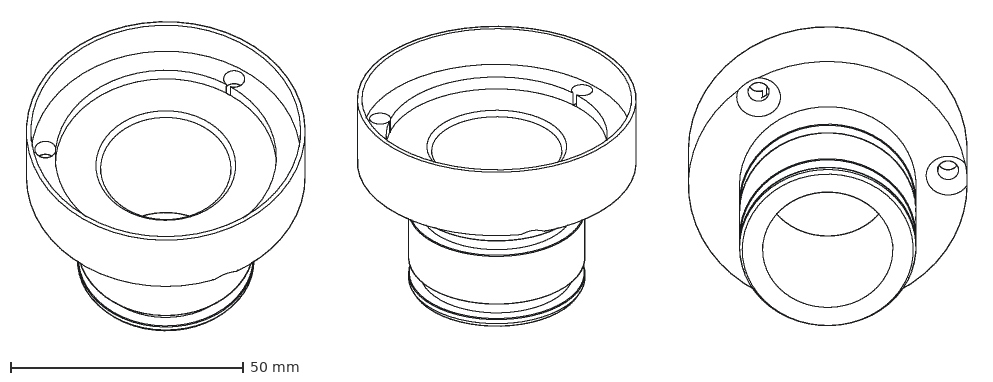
import cadquery as cq
import math

flange_diameter = 60.0
total_height = 46.0
flange_height = 16.0
flange_bottom = total_height - flange_height

cup_diameter = 58.0
cup_depth = 9.0
recess_diameter = 47.6
recess_depth = 3.0
cup_floor = total_height - cup_depth
recess_floor = cup_floor - recess_depth

neck_diameter = 38.0
groove_diameter = 33.0
groove_width = 3.6
groove_bottoms = (2.2, 18.2)
groove_edge_chamfer = 0.2
neck_end_chamfer_height = 1.0
neck_end_chamfer_angle = 30.0

bore_diameter = 28.0
bore_chamfer = 1.0

screw_count = 3
screw_circle_radius = 26.0
screw_hole_diameter = 4.5
countersink_diameter = 9.4
countersink_angle = 90.0
first_screw_angle = 90.0

flat_height = 8.15
flat_depth = 0.35
flat_middle = (groove_bottoms[0] + groove_width + groove_bottoms[1]) / 2


def cylinder(diameter, bottom, height):
    return cq.Workplane("XY").workplane(offset=bottom).circle(diameter / 2).extrude(height)


def make_body():
    neck_end_inset = neck_end_chamfer_height * math.tan(math.radians(neck_end_chamfer_angle))
    neck = cylinder(neck_diameter, 0, flange_bottom)
    neck = neck.faces("<Z").chamfer(neck_end_chamfer_height, neck_end_inset)
    return neck.union(cylinder(flange_diameter, flange_bottom, flange_height))


def make_groove_cutter(bottom):
    """Ring that is wider at the neck surface, so that it also breaks the groove edges."""
    root = groove_diameter / 2
    surface = neck_diameter / 2
    top = bottom + groove_width
    return (
        cq.Workplane("XZ")
        .moveTo(root, bottom)
        .lineTo(surface - groove_edge_chamfer, bottom)
        .lineTo(surface, bottom - groove_edge_chamfer)
        .lineTo(surface, top + groove_edge_chamfer)
        .lineTo(surface - groove_edge_chamfer, top)
        .lineTo(root, top)
        .close()
        .revolve(360, (0, 0, 0), (0, 1, 0))
    )


def cut_center(body):
    body = body.cut(cylinder(cup_diameter, cup_floor, cup_depth))
    body = body.cut(cylinder(recess_diameter, recess_floor, recess_depth))
    body = body.cut(cylinder(bore_diameter, 0, total_height))
    mouth_radius = bore_diameter / 2 + bore_chamfer
    mouth = cq.Solid.makeCone(
        bore_diameter / 2, mouth_radius, bore_chamfer, cq.Vector(0, 0, recess_floor - bore_chamfer)
    )
    return body.cut(cq.Workplane(mouth))


def make_screw_hole_cutter(angle):
    x = screw_circle_radius * math.cos(math.radians(angle))
    y = screw_circle_radius * math.sin(math.radians(angle))
    shank = cylinder(screw_hole_diameter, flange_bottom, flange_height)
    sink_radius = countersink_diameter / 2
    sink_height = sink_radius / math.tan(math.radians(countersink_angle / 2))
    sink = cq.Solid.makeCone(sink_radius, 0, sink_height, cq.Vector(0, 0, flange_bottom))
    return shank.union(cq.Workplane(sink)).translate((x, y, 0))


def make_flat_cutter():
    block = cq.Workplane("XY").box(neck_diameter, flat_depth, flat_height)
    return block.translate((0, (neck_diameter - flat_depth) / 2, flat_middle))


result = cut_center(make_body())
for groove_bottom in groove_bottoms:
    result = result.cut(make_groove_cutter(groove_bottom))
for index in range(screw_count):
    result = result.cut(make_screw_hole_cutter(first_screw_angle + index * 360 / screw_count))
result = result.cut(make_flat_cutter())